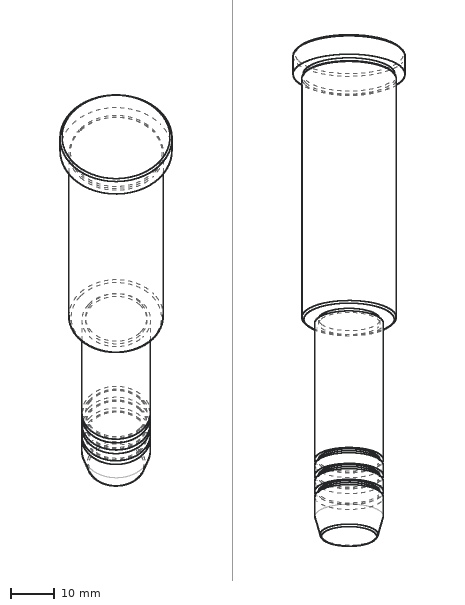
import cadquery as cq
import math

total_length = 120.0
head_diameter = 26.0
head_height = 5.0
body_diameter = 22.0
body_end_depth = 66.0
pilot_diameter = 16.0

edge_chamfer = 0.5
neck_depth = 0.3
neck_width = 0.7
pilot_relief_depth = 0.8
pilot_relief_width = 1.0

groove_count = 3
first_groove_depth = 100.9
groove_pitch = 4.0
groove_width = 1.3
groove_floor_width = 0.5
groove_cut = 0.8

nose_length = 5.0
nose_angle = 15.0
tip_height = 0.5
tip_inset = 0.4

head_radius = head_diameter / 2
body_radius = body_diameter / 2
pilot_radius = pilot_diameter / 2
nose_radius = pilot_radius - (nose_length - tip_height) * math.tan(math.radians(nose_angle))


def height(depth):
    """Z of a point at the given depth below the head's top face."""
    return total_length - depth


def shaft():
    """Revolve the stepped outline, including both shoulder reliefs."""
    neck_radius = body_radius - neck_depth
    neck_end = head_height + neck_width
    relief_radius = pilot_radius - pilot_relief_depth
    relief_end = body_end_depth + pilot_relief_width
    outline = [
        (0, height(0)),
        (head_radius - edge_chamfer, height(0)),
        (head_radius, height(edge_chamfer)),
        (head_radius, height(head_height)),
        (neck_radius, height(head_height)),
        (neck_radius, height(neck_end)),
        (body_radius, height(neck_end + neck_depth)),
        (body_radius, height(body_end_depth - edge_chamfer)),
        (body_radius - edge_chamfer, height(body_end_depth)),
        (relief_radius, height(body_end_depth)),
        (relief_radius, height(relief_end)),
        (pilot_radius, height(relief_end)),
        (pilot_radius, nose_length),
        (nose_radius, tip_height),
        (nose_radius - tip_inset, 0),
        (0, 0),
    ]
    return cq.Workplane("XZ").polyline(outline).close().revolve(360, (0, 0), (0, 1))


def groove(depth):
    """Ring to remove from the pilot, with its upper wall at the given depth."""
    floor_radius = pilot_radius - groove_cut
    outer_radius = body_radius
    outline = [
        (outer_radius, height(depth)),
        (floor_radius, height(depth)),
        (floor_radius, height(depth + groove_floor_width)),
        (pilot_radius, height(depth + groove_width)),
        (outer_radius, height(depth + groove_width)),
    ]
    return cq.Workplane("XZ").polyline(outline).close().revolve(360, (0, 0), (0, 1))


result = shaft()
for index in range(groove_count):
    result = result.cut(groove(first_groove_depth + index * groove_pitch))